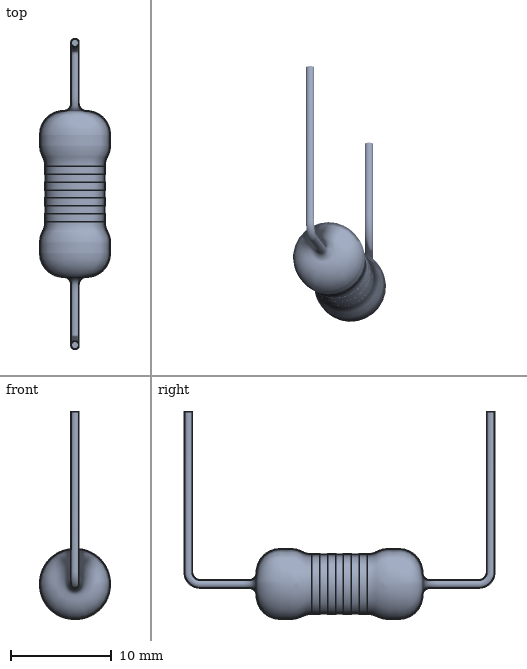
import cadquery as cq
import math


lead_diameter = 0.8
lead_spacing = 30.0
lead_top_height = 17.1
bend_radius = 1.5 * lead_diameter

body_length = 16.5
cap_diameter = 7.0
waist_diameter = 5.95
waist_length = 5.5
dome_radius = 2.4

band_diameter = 5.97
band_count = 4
band_width = waist_length / (2 * band_count - 1)

lead_radius = lead_diameter / 2
cap_radius = cap_diameter / 2
dome_center_radius = cap_radius - dome_radius
lead_fillet_radius = dome_center_radius - lead_radius
waist_radius = waist_diameter / 2
body_end = body_length / 2
waist_end = waist_length / 2
dome_start = body_end - dome_radius

shoulder_step = (dome_start - waist_end) / 3
shoulder_middle = waist_end + shoulder_step
shoulder_end = shoulder_middle + shoulder_step
shoulder_half_rise = (cap_radius - waist_radius) / 2
shoulder_middle_radius = waist_radius + shoulder_half_rise
shoulder_arc_radius = (shoulder_step**2 + shoulder_half_rise**2) / (2 * shoulder_half_rise)


def make_disc(diameter, start, length):
    """Cylinder about Y that begins at the given Y and runs towards +Y."""
    return cq.Workplane("XZ", origin=(0, start, 0)).circle(diameter / 2).extrude(-length)


def make_cap():
    """+Y end of the body, revolved about Y: shoulder, rim, dome and lead fillet."""
    diagonal = math.sqrt(0.5)
    half_sweep = math.asin(shoulder_step / shoulder_arc_radius) / 2
    arc_run = shoulder_arc_radius * math.sin(half_sweep)
    arc_rise = shoulder_arc_radius * (1 - math.cos(half_sweep))

    fillet_end = body_end + lead_fillet_radius
    profile = (
        cq.Workplane("XY")
        .moveTo(0, waist_end)
        .lineTo(waist_radius, waist_end)
        .threePointArc(
            (waist_radius + arc_rise, waist_end + arc_run),
            (shoulder_middle_radius, shoulder_middle),
        )
        .threePointArc(
            (cap_radius - arc_rise, shoulder_end - arc_run),
            (cap_radius, shoulder_end),
        )
        .lineTo(cap_radius, dome_start)
        .threePointArc(
            (dome_center_radius + dome_radius * diagonal, dome_start + dome_radius * diagonal),
            (dome_center_radius, body_end),
        )
        .threePointArc(
            (
                dome_center_radius - lead_fillet_radius * diagonal,
                fillet_end - lead_fillet_radius * diagonal,
            ),
            (lead_radius, fillet_end),
        )
        .lineTo(0, fillet_end)
        .close()
    )
    return profile.revolve(360, (0, 0, 0), (0, 1, 0))


def make_waist():
    """Waist cylinder with raised rings spaced evenly from one end to the other."""
    waist = make_disc(waist_diameter, -waist_end, waist_length)
    for index in range(band_count):
        band_start = -waist_end + 2 * index * band_width
        waist = waist.union(make_disc(band_diameter, band_start, band_width))
    return waist


def make_lead():
    """+Y lead: straight out of the fillet, bent up and ending flat."""
    lead_start = body_end + lead_fillet_radius
    lead_y = lead_spacing / 2
    bend_start = lead_y - bend_radius
    path = (
        cq.Workplane("YZ")
        .moveTo(lead_start, 0)
        .lineTo(bend_start, 0)
        .radiusArc((lead_y, bend_radius), -bend_radius)
        .lineTo(lead_y, lead_top_height)
    )
    return cq.Workplane("XZ", origin=(0, lead_start, 0)).circle(lead_radius).sweep(path)


cap_with_lead = make_cap().union(make_lead())
result = make_waist().union(cap_with_lead).union(cap_with_lead.mirror("XZ"))